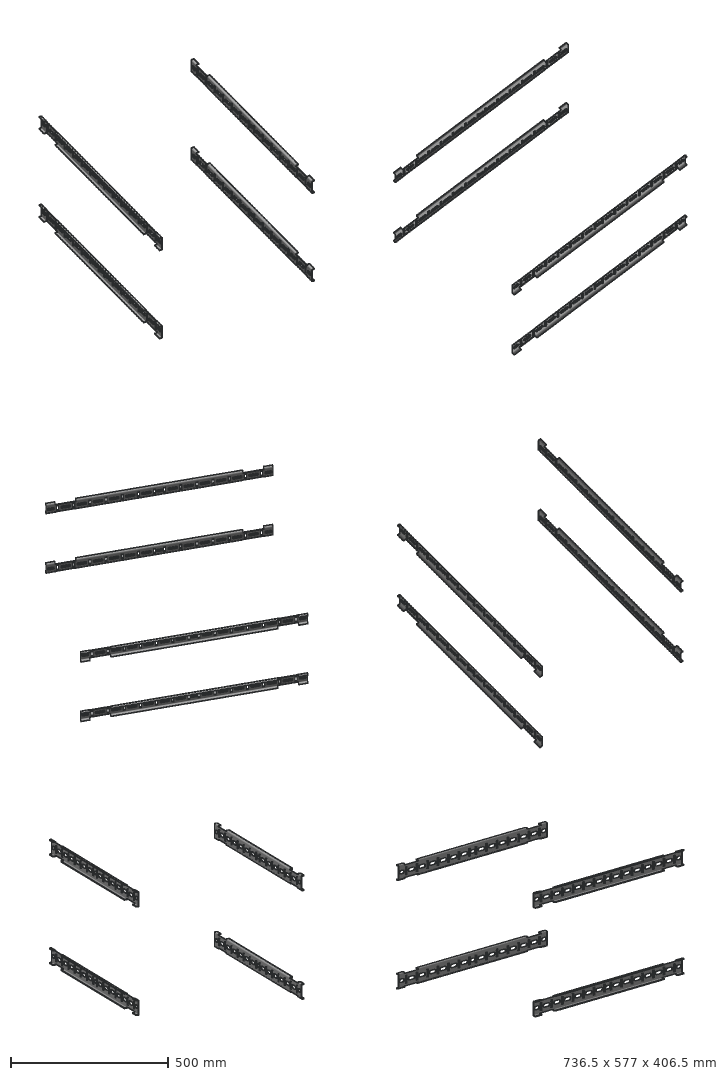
import cadquery as cq

RAIL_LENGTH = 736.5
OVERALL_DEPTH = 577.0
OVERALL_HEIGHT = 406.5
WEB_SPACING = 555.5

RAIL_HEIGHT = 51.0
FLANGE_DEPTH = (OVERALL_DEPTH - WEB_SPACING) / 2
SHEET_THICKNESS = 3.25
INNER_BEND_RADIUS = 1.5
OUTER_BEND_RADIUS = INNER_BEND_RADIUS + SHEET_THICKNESS

END_TAB_LENGTH = 30.0
MIDDLE_FLANGE_START = 97.0
RELIEF_LENGTH = MIDDLE_FLANGE_START - END_TAB_LENGTH
RELIEF_DROP = OUTER_BEND_RADIUS

UPRIGHT_SLOTS_PER_HALF = 7
UPRIGHT_SLOT_WIDTH = 6.5
UPRIGHT_SLOT_HEIGHT = 25.0
FIRST_UPRIGHT_X = 16.0
LAST_UPRIGHT_X = 331.0
SLOT_PITCH = (LAST_UPRIGHT_X - FIRST_UPRIGHT_X) / (UPRIGHT_SLOTS_PER_HALF - 1)

LENGTHWISE_SLOT_WIDTH = 11.0
LONG_SLOT_LENGTH = 31.0
SHORT_SLOT_LENGTH = 22.0
END_SLOT_INSET = 15.5

LEVEL_OFFSET = (OVERALL_HEIGHT - RAIL_HEIGHT) / 2
WEB_OFFSET = WEB_SPACING / 2


def channel():
    """Bent C-section with its web outer face on Y = 0 and its flanges toward +Y."""
    outside = (
        cq.Workplane("XY")
        .box(RAIL_LENGTH, FLANGE_DEPTH, RAIL_HEIGHT, centered=(True, False, True))
        .edges("|X and <Y")
        .fillet(OUTER_BEND_RADIUS)
    )
    inside = (
        cq.Workplane("XY")
        .box(RAIL_LENGTH, FLANGE_DEPTH, RAIL_HEIGHT - 2 * SHEET_THICKNESS, centered=(True, False, True))
        .edges("|X and <Y")
        .fillet(INNER_BEND_RADIUS)
        .translate((0, SHEET_THICKNESS, 0))
    )
    return outside.cut(inside)


def flange_reliefs():
    """Blocks that remove the flanges and bends beside both end tabs."""
    relief_x = RAIL_LENGTH / 2 - (END_TAB_LENGTH + MIDDLE_FLANGE_START) / 2
    relief_z = RAIL_HEIGHT / 2 - RELIEF_DROP / 2
    places = [(side * relief_x, level * relief_z) for side in (-1, 1) for level in (-1, 1)]
    return (
        cq.Workplane("XZ")
        .pushPoints(places)
        .rect(RELIEF_LENGTH, RELIEF_DROP)
        .extrude(-FLANGE_DEPTH)
    )


def upright_slots(places):
    """Square-ended cutters through the web, centred at the given X positions."""
    return (
        cq.Workplane("XZ")
        .pushPoints([(x, 0) for x in places])
        .rect(UPRIGHT_SLOT_WIDTH, UPRIGHT_SLOT_HEIGHT)
        .extrude(-SHEET_THICKNESS)
    )


def lengthwise_slots(places, length):
    """Round-ended cutters through the web, centred at the given X positions."""
    return (
        cq.Workplane("XZ")
        .pushPoints([(x, 0) for x in places])
        .slot2D(length, LENGTHWISE_SLOT_WIDTH)
        .extrude(-SHEET_THICKNESS)
    )


def rail():
    """One complete rail, centred on X and Z, with its web outer face on Y = 0."""
    uprights = [FIRST_UPRIGHT_X + i * SLOT_PITCH for i in range(UPRIGHT_SLOTS_PER_HALF)]
    between = [x + SLOT_PITCH / 2 for x in uprights[:-1]]
    end_x = RAIL_LENGTH / 2 - END_SLOT_INSET
    upright_places = [side * x for side in (-1, 1) for x in uprights]
    long_places = [side * x for side in (-1, 1) for x in between]
    short_places = [-end_x, 0, end_x]
    return (
        channel()
        .cut(flange_reliefs())
        .cut(upright_slots(upright_places))
        .cut(lengthwise_slots(long_places, LONG_SLOT_LENGTH))
        .cut(lengthwise_slots(short_places, SHORT_SLOT_LENGTH))
    )


back_rail = rail().translate((0, WEB_OFFSET, 0))
front_rail = back_rail.rotate((0, 0, 0), (0, 0, 1), 180)

rails = []
for level in (-1, 1):
    for placed_rail in (front_rail, back_rail):
        rails.append(placed_rail.translate((0, 0, level * LEVEL_OFFSET)).val())

result = cq.Compound.makeCompound(rails)